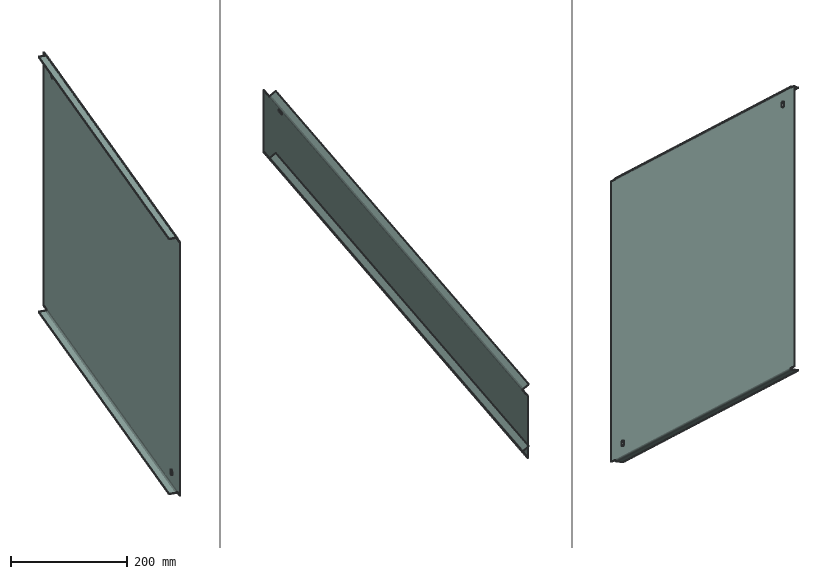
import cadquery as cq

panel_width = 707.0
overall_depth = 15.5
overall_height = 506.0
sheet_thickness = 1.5

flange_width = 676.5
bend_outer_radius = 2.7
bend_inner_radius = bend_outer_radius - sheet_thickness
panel_height = overall_height - 2 * bend_outer_radius

hole_diameter = 10.5
hole_x = 309.0
hole_z = 228.0


def centred_box(width, depth, height):
    """Box centred in X and Z whose back face lies on Y = 0."""
    return cq.Workplane("XY").box(width, depth, height).translate((0, -depth / 2, 0))


def flanged_channel():
    """U-shaped sheet: a web at the back with both flanges reaching toward -Y."""
    outside = centred_box(flange_width, overall_depth, overall_height)
    outside = outside.edges("|X and >Y").fillet(bend_outer_radius)
    inside = centred_box(flange_width, overall_depth, overall_height - 2 * sheet_thickness)
    inside = inside.edges("|X and >Y").fillet(bend_inner_radius)
    return outside.cut(inside.translate((0, -sheet_thickness, 0)))


def mounting_holes():
    """Cutters through the panel at the upper left and lower right corners."""
    return (
        cq.Workplane("XZ")
        .pushPoints([(-hole_x, hole_z), (hole_x, -hole_z)])
        .circle(hole_diameter / 2)
        .extrude(sheet_thickness)
    )


panel = centred_box(panel_width, sheet_thickness, panel_height)
result = panel.union(flanged_channel()).cut(mounting_holes())